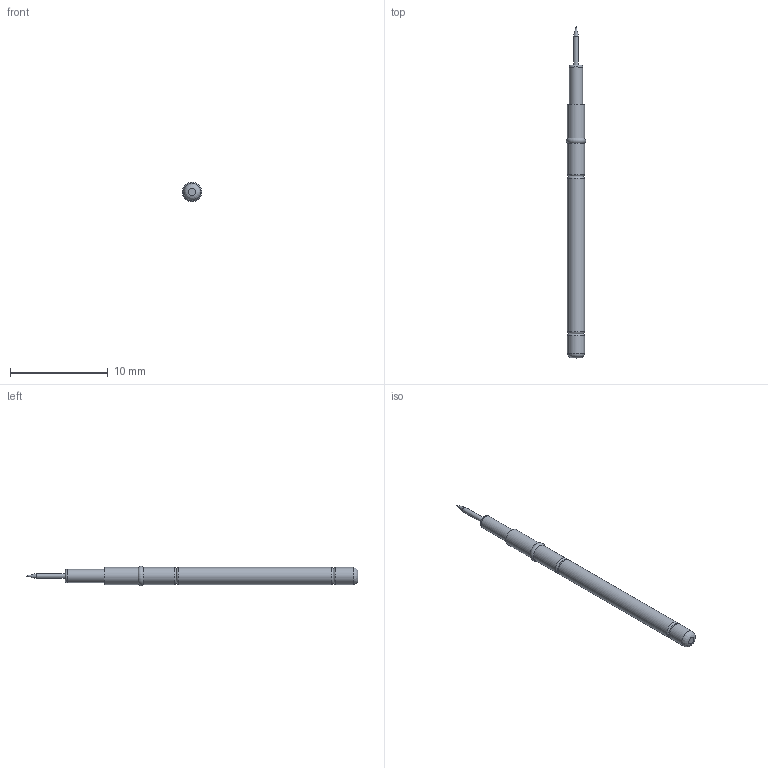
import cadquery as cq

total_length = 34.0
needle_point_length = 1.05
needle_exposed_length = 4.0
sleeve_exposed_length = 4.0
sleeve_end_radius = 0.2
tail_radius = 0.5

needle_diameter = 0.5
sleeve_diameter = 1.35
barrel_diameter = 1.75
collar_diameter = 2.0

collar_width = 0.5
collar_center = 22.25
crimp_lip_radius = 0.2
crimp_centers = (2.5, 18.6)

needle_base = total_length - needle_point_length
sleeve_end = total_length - needle_exposed_length
barrel_end = sleeve_end - sleeve_exposed_length


def cylinder(diameter, start, end):
    """Solid cylinder on the Y axis between two axial positions."""
    circle = cq.Workplane("XZ", origin=(0, start, 0)).circle(diameter / 2)
    return circle.extrude(start - end)


def revolve_profile(profile):
    """Revolve a closed XY profile a full turn about the Y axis."""
    return profile.close().revolve(360, (0, 0, 0), (0, 1, 0))


def make_needle():
    """Thin plunger ending in a sharp conical point."""
    radius = needle_diameter / 2
    point = revolve_profile(
        cq.Workplane("XY").moveTo(0, needle_base).lineTo(radius, needle_base).lineTo(0, total_length)
    )
    return cylinder(needle_diameter, sleeve_end, needle_base).union(point)


def make_sleeve():
    """Intermediate sleeve with a rounded front rim."""
    return cylinder(sleeve_diameter, barrel_end, sleeve_end).faces(">Y").edges().fillet(sleeve_end_radius)


def make_barrel():
    """Main barrel with a rounded tail."""
    return cylinder(barrel_diameter, 0, barrel_end).faces("<Y").edges().fillet(tail_radius)


def make_collar():
    """Bulged press ring around the barrel."""
    barrel_radius = barrel_diameter / 2
    rear = collar_center - collar_width / 2
    front = collar_center + collar_width / 2
    return revolve_profile(
        cq.Workplane("XY")
        .moveTo(0, rear)
        .lineTo(barrel_radius, rear)
        .threePointArc((collar_diameter / 2, collar_center), (barrel_radius, front))
        .lineTo(0, front)
    )


def make_crimp(center):
    """Ring cutter for a crimp whose two convex lips meet at the groove bottom."""
    outer = barrel_diameter / 2
    bottom = outer - crimp_lip_radius
    return revolve_profile(
        cq.Workplane("XY")
        .moveTo(outer, center - crimp_lip_radius)
        .radiusArc((bottom, center), -crimp_lip_radius)
        .radiusArc((outer, center + crimp_lip_radius), -crimp_lip_radius)
    )


result = make_barrel().union(make_sleeve()).union(make_needle()).union(make_collar())
for crimp_center in crimp_centers:
    result = result.cut(make_crimp(crimp_center))